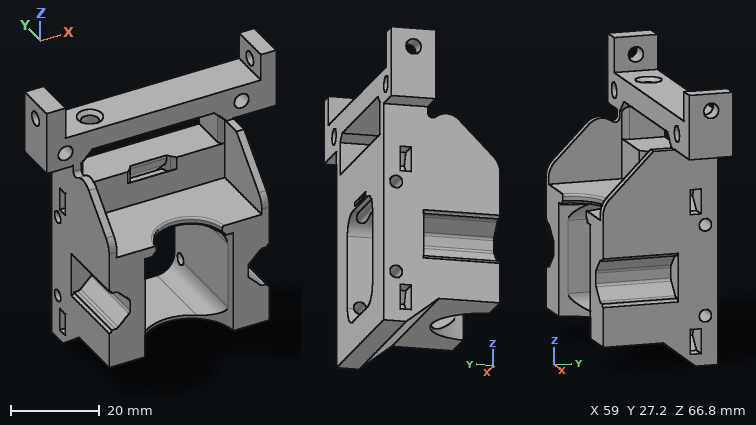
import cadquery as cq
import math


HEIGHT = 66.8
DEPTH = 27.2
BODY_WIDTH = 41.15
BODY_HALF = BODY_WIDTH / 2

FRAME_LEFT = -27.45
FRAME_RIGHT = 31.5
FRAME_DEPTH = 10.35
FRAME_BOTTOM = 50.65
BEAM_TOP = 58.7
LEFT_ARM_WIDTH = 4.95
RIGHT_ARM_WIDTH = 4.0
RIGHT_ARM_TOP = 65.5
FRAME_HOLE_DIAMETER = 3.7
FRAME_HOLE_X = 22.6
FRAME_HOLE_Z = 54.65
ARM_HOLE_DIAMETER = 3.5
LEFT_ARM_HOLE_Z = 62.5
RIGHT_ARM_HOLE_Z = 61.6
ADJUSTER_X = -13.5
ADJUSTER_DIAMETER = 4.15
ADJUSTER_SINK_DIAMETER = 6.0
ADJUSTER_SINK_DEPTH = 1.0

PLATE_TOP = 50.5
PLATE_THICKNESS = 2.0
PLATE_CORNER_Y = -15.3
PLATE_NOSE_Z = PLATE_TOP - (DEPTH + PLATE_CORNER_Y)
PLATE_NOSE_RADIUS = 5.0
BODY_BOTTOM = 5.95
SLOPE_BACK_Y = -5.3
SLOPE_FRONT_Y = -12.9
DECK_Z = 35.0
INNER_HALF = BODY_HALF - PLATE_THICKNESS

RELIEF_ROOT_Z = 47.3
RELIEF_ROOT_RADIUS = 1.1
RELIEF_CREST_RADIUS = 4.0

BLOCK_TOP = 44.3
BLOCK_FRONT_Y = -9.8
WINDOW_HALF = 17.3
WINDOW_TOP = 53.6
WINDOW_TOP_HALF = 15.55
JAMB_RADIUS = INNER_HALF - WINDOW_HALF

SLOT_HALF = 4.6
SLOT_MOUTH_HALF = 6.3
SLOT_MOUTH_RADIUS = 2.0
SLOT_FLOOR_Z = 41.2
SLOT_FLOOR_RADIUS = 5.0
SLOT_LIP_Y = -7.95
SLOT_LIP_Z = 43.55
SLOT_LIP_RADIUS = 3.2

OPENING_HALF = 10.95
OPENING_BOTTOM = 6.9
OPENING_TOP = 32.7
OPENING_RADIUS = 4.5
BORE_Y = -28.1
LOWER_BORE_RADIUS = 11.35
LOWER_BORE_TOP = 32.3
DECK_BORE_RADIUS = 8.5
DECK_BORE_ROUND = 0.55
UNDER_CHAMFER = 0.75

GROOVE_BACK_Y = -9.35
GROOVE_Z = 20.85
GROOVE_DEPTH = 5.4
GROOVE_HALF = 4.95
GROOVE_FLOOR_HALF = 1.6
GROOVE_LIP_RADIUS = 0.7
GROOVE_INNER_RADIUS = 1.0

CROSS_HOLE_DIAMETER = 2.9
CROSS_HOLE_Y = -2.95
CROSS_HOLE_Z = (11.55, 32.6)
POCKET_BACK_Y = -3.95
POCKET_WIDTH = 2.55
POCKET_HEIGHT = 5.75
POCKET_FLOOR_DEPTH = 3.35
POCKET_UPPER_LEAN = 1.35
POCKET_Z = (5.75, 38.1)


def box(x0, x1, y0, y1, z0, z1):
    """Box between two opposite corners."""
    return cq.Workplane("XY").box(x1 - x0, y1 - y0, z1 - z0, centered=False).translate((x0, y0, z0))


def prism_y(points, y_front, y_back):
    """Outline in x and z, extruded from y_front to y_back."""
    return cq.Workplane("XZ", origin=(0, y_back, 0)).polyline(points).close().extrude(y_back - y_front)


def prism_x(points, x0, x1):
    """Outline in y and z, extruded from x0 to x1."""
    return cq.Workplane("YZ", origin=(x0, 0, 0)).polyline(points).close().extrude(x1 - x0)


def hole_x(diameter, x0, x1, y, z):
    """Cylinder along x."""
    return cq.Workplane("YZ", origin=(x0, y, z)).circle(diameter / 2).extrude(x1 - x0)


def both_sides(solid):
    """Solid joined with its mirror image across the middle plane."""
    return solid.union(solid.mirror("YZ"))


def make_frame():
    frame = prism_y(
        [
            (FRAME_LEFT, FRAME_BOTTOM),
            (FRAME_RIGHT, FRAME_BOTTOM),
            (FRAME_RIGHT, RIGHT_ARM_TOP),
            (FRAME_RIGHT - RIGHT_ARM_WIDTH, RIGHT_ARM_TOP),
            (FRAME_RIGHT - RIGHT_ARM_WIDTH, BEAM_TOP),
            (FRAME_LEFT + LEFT_ARM_WIDTH, BEAM_TOP),
            (FRAME_LEFT + LEFT_ARM_WIDTH, HEIGHT),
            (FRAME_LEFT, HEIGHT),
        ],
        -FRAME_DEPTH,
        0,
    )
    middle_y = -FRAME_DEPTH / 2
    for x in (-FRAME_HOLE_X, FRAME_HOLE_X):
        hole = cq.Workplane("XZ", origin=(x, 0, FRAME_HOLE_Z)).circle(FRAME_HOLE_DIAMETER / 2)
        frame = frame.cut(hole.extrude(FRAME_DEPTH))
    frame = frame.cut(hole_x(ARM_HOLE_DIAMETER, FRAME_LEFT, 0, middle_y, LEFT_ARM_HOLE_Z))
    frame = frame.cut(hole_x(ARM_HOLE_DIAMETER, 0, FRAME_RIGHT, middle_y, RIGHT_ARM_HOLE_Z))
    adjuster = (
        cq.Workplane("XY", origin=(ADJUSTER_X, middle_y, BEAM_TOP))
        .circle(ADJUSTER_SINK_DIAMETER / 2)
        .workplane(offset=-ADJUSTER_SINK_DEPTH)
        .circle(ADJUSTER_DIAMETER / 2)
        .loft()
        .faces("<Z")
        .workplane()
        .circle(ADJUSTER_DIAMETER / 2)
        .extrude(BEAM_TOP - WINDOW_TOP)
    )
    return frame.cut(adjuster)


def make_body():
    side_outline = [
        (0, 0),
        (SLOPE_BACK_Y, 0),
        (SLOPE_FRONT_Y, BODY_BOTTOM),
        (-DEPTH, BODY_BOTTOM),
        (-DEPTH, PLATE_NOSE_Z),
        (PLATE_CORNER_Y, PLATE_TOP),
        (-FRAME_DEPTH, PLATE_TOP),
        (-FRAME_DEPTH, FRAME_BOTTOM),
        (0, FRAME_BOTTOM),
    ]
    nose_edge = cq.selectors.NearestToPointSelector((0, -DEPTH, PLATE_NOSE_Z))
    body = prism_x(side_outline, -BODY_HALF, BODY_HALF).edges(nose_edge).fillet(PLATE_NOSE_RADIUS)
    return body.cut(box(-INNER_HALF, INNER_HALF, -DEPTH, BLOCK_FRONT_Y, DECK_Z, FRAME_BOTTOM))


def make_plate_relief():
    """Space above the dipped edge of the left plate."""
    outline = [
        (-FRAME_DEPTH, RELIEF_ROOT_Z),
        (-FRAME_DEPTH, FRAME_BOTTOM),
        (-DEPTH, FRAME_BOTTOM),
        (-DEPTH, PLATE_NOSE_Z),
        (PLATE_CORNER_Y, PLATE_TOP),
    ]
    relief = prism_x(outline, -BODY_HALF, -INNER_HALF)
    plate_middle_x = -BODY_HALF + PLATE_THICKNESS / 2
    root = cq.selectors.NearestToPointSelector((plate_middle_x, -FRAME_DEPTH, RELIEF_ROOT_Z))
    crest = cq.selectors.NearestToPointSelector((plate_middle_x, PLATE_CORNER_Y, PLATE_TOP))
    relief = relief.edges(root).fillet(RELIEF_ROOT_RADIUS)
    return relief.edges(crest).fillet(RELIEF_CREST_RADIUS)


def make_window():
    """Opening between block and beam, wider in front of the rounded jambs."""

    def outline(half):
        shoulder_z = WINDOW_TOP - (half - WINDOW_TOP_HALF)
        return [
            (-half, BLOCK_TOP),
            (half, BLOCK_TOP),
            (half, shoulder_z),
            (WINDOW_TOP_HALF, WINDOW_TOP),
            (-WINDOW_TOP_HALF, WINDOW_TOP),
            (-half, shoulder_z),
        ]

    jamb_back_y = BLOCK_FRONT_Y + JAMB_RADIUS
    narrow = prism_y(outline(WINDOW_HALF), -FRAME_DEPTH, 0)
    wide = prism_y(outline(INNER_HALF), -FRAME_DEPTH, jamb_back_y)
    jamb = box(WINDOW_HALF, BODY_HALF, BLOCK_FRONT_Y, 0, BLOCK_TOP, WINDOW_TOP)
    jamb = jamb.edges("|Z and <X and <Y").fillet(JAMB_RADIUS)
    return narrow.union(wide.cut(both_sides(jamb)))


def make_strap_slot():
    """Strap channel: flared mouth in the block's front edge, then a 45 degree passage to the back face."""
    diagonal = math.sqrt(0.5)
    flare = SLOT_MOUTH_HALF - SLOT_HALF
    plan = (
        cq.Workplane("XY")
        .polyline(
            [
                (-SLOT_MOUTH_HALF, BLOCK_FRONT_Y),
                (SLOT_MOUTH_HALF, BLOCK_FRONT_Y),
                (SLOT_HALF, BLOCK_FRONT_Y + flare),
                (SLOT_HALF, 0),
                (-SLOT_HALF, 0),
                (-SLOT_HALF, BLOCK_FRONT_Y + flare),
            ]
        )
        .close()
        .extrude(BLOCK_TOP)
    )
    for x in (-SLOT_HALF, SLOT_HALF):
        throat = cq.selectors.NearestToPointSelector((x, BLOCK_FRONT_Y + flare, BLOCK_TOP / 2))
        plan = plan.edges(throat).fillet(SLOT_MOUTH_RADIUS)

    floor_end_y = BLOCK_FRONT_Y + SLOT_FLOOR_RADIUS * diagonal
    floor_end_z = SLOT_FLOOR_Z - SLOT_FLOOR_RADIUS * (1 - diagonal)
    lip_end_y = SLOT_LIP_Y + SLOT_LIP_RADIUS * (1 - diagonal)
    lip_end_z = SLOT_LIP_Z - SLOT_LIP_RADIUS * diagonal
    profile = (
        cq.Workplane("YZ", origin=(-SLOT_MOUTH_HALF, 0, 0))
        .moveTo(BLOCK_FRONT_Y, BLOCK_TOP)
        .lineTo(BLOCK_FRONT_Y, SLOT_FLOOR_Z)
        .radiusArc((floor_end_y, floor_end_z), -SLOT_FLOOR_RADIUS)
        .lineTo(0, floor_end_z + floor_end_y)
        .lineTo(0, lip_end_z + lip_end_y)
        .lineTo(lip_end_y, lip_end_z)
        .radiusArc((SLOT_LIP_Y, SLOT_LIP_Z), SLOT_LIP_RADIUS)
        .lineTo(SLOT_LIP_Y, BLOCK_TOP)
        .close()
        .extrude(2 * SLOT_MOUTH_HALF)
    )
    return plan.intersect(profile)


def make_opening():
    """Rounded opening along y, with the stepped half-round bore along z at the front."""
    opening = box(-OPENING_HALF, OPENING_HALF, -DEPTH, 0, OPENING_BOTTOM, OPENING_TOP)
    opening = opening.edges("|Y").fillet(OPENING_RADIUS)
    under_radius = DECK_BORE_RADIUS + UNDER_CHAMFER
    bore = (
        cq.Workplane("XZ")
        .lineTo(LOWER_BORE_RADIUS, 0)
        .lineTo(LOWER_BORE_RADIUS, LOWER_BORE_TOP)
        .lineTo(under_radius, LOWER_BORE_TOP)
        .lineTo(under_radius, OPENING_TOP)
        .lineTo(DECK_BORE_RADIUS, OPENING_TOP + UNDER_CHAMFER)
        .lineTo(DECK_BORE_RADIUS, DECK_Z - DECK_BORE_ROUND)
        .radiusArc((DECK_BORE_RADIUS + DECK_BORE_ROUND, DECK_Z), DECK_BORE_ROUND)
        .lineTo(0, DECK_Z)
        .close()
        .revolve(360, (0, 0, 0), (0, 1, 0))
    )
    return opening.union(bore.translate((0, BORE_Y, 0)))


def make_side_groove():
    """Groove in the left side, with sloped flanks and rounded edges, open at the front."""
    floor_x = -BODY_HALF + GROOVE_DEPTH
    flank_x = floor_x - (GROOVE_HALF - GROOVE_FLOOR_HALF)
    groove = prism_y(
        [
            (-BODY_HALF, GROOVE_Z - GROOVE_HALF),
            (flank_x, GROOVE_Z - GROOVE_HALF),
            (floor_x, GROOVE_Z - GROOVE_FLOOR_HALF),
            (floor_x, GROOVE_Z + GROOVE_FLOOR_HALF),
            (flank_x, GROOVE_Z + GROOVE_HALF),
            (-BODY_HALF, GROOVE_Z + GROOVE_HALF),
        ],
        -DEPTH,
        GROOVE_BACK_Y,
    )
    groove = groove.edges("|Y and (not <X)").fillet(GROOVE_INNER_RADIUS)
    for side in (-1, 1):
        edge_z = GROOVE_Z + side * GROOVE_HALF
        lip = (
            cq.Workplane("XZ", origin=(-BODY_HALF, GROOVE_BACK_Y, edge_z))
            .lineTo(GROOVE_LIP_RADIUS, 0)
            .radiusArc((0, side * GROOVE_LIP_RADIUS), -side * GROOVE_LIP_RADIUS)
            .close()
            .extrude(DEPTH + GROOVE_BACK_Y)
        )
        groove = groove.union(lip)
    return groove


def make_side_pocket(center_z):
    """Pocket in the left side; its end wall has a 45 degree lower half and a steeper upper half."""
    half = POCKET_HEIGHT / 2
    outline = [
        (0, -half),
        (POCKET_FLOOR_DEPTH, -half),
        (POCKET_FLOOR_DEPTH + half, 0),
        (POCKET_FLOOR_DEPTH + half - POCKET_UPPER_LEAN, half),
        (0, half),
    ]
    pocket = cq.Workplane("XZ", origin=(-BODY_HALF, POCKET_BACK_Y, center_z))
    return pocket.polyline(outline).close().extrude(POCKET_WIDTH)


result = make_frame().union(make_body())
result = result.cut(make_plate_relief())
result = result.cut(make_window())
result = result.cut(make_strap_slot())
result = result.cut(make_opening())
result = result.cut(both_sides(make_side_groove()))
for pocket_z in POCKET_Z:
    result = result.cut(both_sides(make_side_pocket(pocket_z)))
for hole_z in CROSS_HOLE_Z:
    result = result.cut(hole_x(CROSS_HOLE_DIAMETER, -BODY_HALF, BODY_HALF, CROSS_HOLE_Y, hole_z))